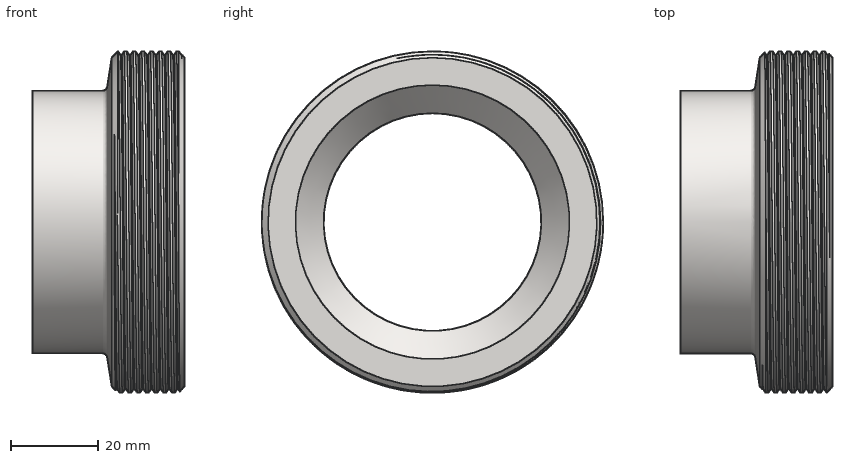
import cadquery as cq

total_length = 35.0
crest_radius = 39.2

tube_radius = 30.2
tube_fillet = 0.95
cone_foot_x = 17.0
foot_search_margin = 0.1
cone_rim_x = 18.2
cone_rim_radius = 37.7
crest_start_x = 19.6
end_chamfer_length = 1.4
end_chamfer_height = 1.5

mouth_radius = 28.15
mouth_length = 1.0
throat_radius = 24.9
throat_start_x = 20.15
throat_end_x = 27.75
seat_radius = 31.45

thread_length = 16.0
thread_turns = 8
pitch = thread_length / thread_turns
run_out_turns = 1
groove_start_x = 17.9
groove_depth = 0.8
groove_mouth_width = 1.4
groove_root_width = 0.3
groove_overlap = 0.2


def make_body():
    """Revolve the outside profile, with a fillet where the tube meets the cone."""
    outside = (
        cq.Workplane("XZ")
        .moveTo(0, 0)
        .lineTo(0, tube_radius)
        .lineTo(cone_foot_x, tube_radius)
        .lineTo(cone_rim_x, cone_rim_radius)
        .lineTo(crest_start_x, crest_radius)
        .lineTo(total_length - end_chamfer_length, crest_radius)
        .lineTo(total_length, crest_radius - end_chamfer_height)
        .lineTo(total_length, 0)
        .close()
        .revolve(360, (0, 0, 0), (1, 0, 0))
    )
    foot_edge = cq.selectors.BoxSelector(
        (cone_foot_x - foot_search_margin, -crest_radius, -crest_radius),
        (cone_foot_x + foot_search_margin, crest_radius, crest_radius),
    )
    return outside.edges(foot_edge).fillet(tube_fillet)


def make_bore():
    """Revolve the volume removed from the inside."""
    return (
        cq.Workplane("XZ")
        .moveTo(0, 0)
        .lineTo(0, mouth_radius)
        .lineTo(mouth_length, mouth_radius)
        .lineTo(throat_start_x, throat_radius)
        .lineTo(throat_end_x, throat_radius)
        .lineTo(total_length, seat_radius)
        .lineTo(total_length, 0)
        .close()
        .revolve(360, (0, 0, 0), (1, 0, 0))
    )


def make_groove_turn():
    """Sweep a trapezoid along one helix turn, climbing along X from the +Y side."""
    root_radius = crest_radius - groove_depth
    outer_radius = crest_radius + groove_overlap
    flank_slope = (groove_mouth_width - groove_root_width) / groove_depth
    outer_width = groove_mouth_width + flank_slope * groove_overlap
    helix = cq.Wire.makeHelix(pitch, pitch, crest_radius)
    groove = (
        cq.Workplane("XZ")
        .moveTo(root_radius, -groove_root_width / 2)
        .lineTo(outer_radius, -outer_width / 2)
        .lineTo(outer_radius, outer_width / 2)
        .lineTo(root_radius, groove_root_width / 2)
        .close()
        .sweep(cq.Workplane(helix), isFrenet=True)
    )
    return groove.rotate((0, 0, 0), (1, 1, 1), 120).translate((groove_start_x, 0, 0))


def cut_thread(blank):
    """Cut the groove one turn at a time, each turn starting where the last one ended."""
    groove_turn = make_groove_turn()
    threaded = blank
    for turn in range(thread_turns + run_out_turns):
        threaded = threaded.cut(groove_turn.translate((turn * pitch, 0, 0)))
    return threaded


result = cut_thread(make_body().cut(make_bore()))